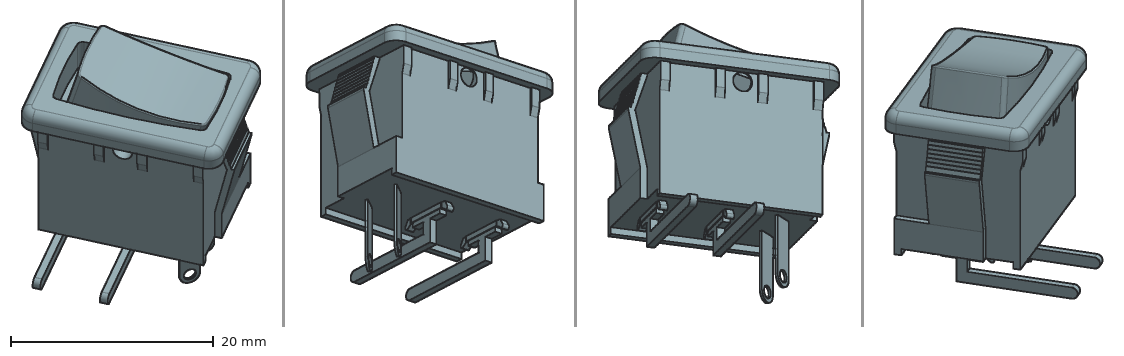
import cadquery as cq
import math


BEZEL_LENGTH = 20.78
BEZEL_WIDTH = 14.8
BEZEL_HEIGHT = 2.08
BEZEL_CORNER_RADIUS = 1.5
BEZEL_EDGE_RADIUS = 1.0

CASE_LENGTH = 17.1
CASE_WIDTH = 12.87
CASE_BOTTOM = -13.21
RAIL_WIDTH = 0.75
RAIL_BOTTOM = -13.92

RIB_WIDTH = 1.0
RIB_PROUD = 0.25
RIB_STRAIGHT_BOTTOM = -1.95
RIB_TAPER_BOTTOM = -2.95
INNER_RIB_X = 2.24

OVERALL_LENGTH = 21.1
CLIP_WIDTH = 5.67
CLIP_FOOT_THICKNESS = 0.73
CLIP_FOOT_TOP = -9.95
CLIP_TIP_Z = -3.95
CLIP_INNER_KINK_X = 9.8
CLIP_INNER_TOP_Z = -0.2
CLIP_OUTER_TOP_X = 9.18
TOOTH_COUNT = 8
TOOTH_TOP_Z = -0.29
TOOTH_PITCH = 0.42
TOOTH_LEDGE = 0.08
LAST_TOOTH_X = 10.12
TIP_LEDGE_X = 10.25
TIP_LEDGE_Z = -3.72

WINDOW_X = 0.1
WINDOW_HALF_LENGTH = 8.17
WINDOW_HALF_WIDTH = 4.75
WINDOW_END_BULGE = 0.29
WINDOW_SIDE_BULGE = 0.45
WINDOW_CORNER_RADIUS = 0.57
WINDOW_FLOOR = -1.22

AXLE_RADIUS = 2.0 / 2
PIVOT_X = 0.15
PIVOT_Z = -AXLE_RADIUS
ROCKER_TILT = 13.0
ROCKER_TOP = 5.18
ROCKER_BASE = -2.08
ROCKER_HALF_LENGTH = 7.07
ROCKER_HALF_WIDTH = 4.47
ROCKER_END_BULGE = 0.29
ROCKER_SIDE_BULGE = 0.62
ROCKER_CORNER_RADIUS = 0.6
ROCKER_DRAFT = 1.5
ROCKER_DISH_RADIUS = 27.3
ROCKER_RIM_RADIUS = 0.13
AXLE_LENGTH = 12.61
AXLE_FLAT_Z = 0.65
AXLE_LEAD_IN_ANGLE = 35.0

TERMINAL_THICKNESS = 0.8
TERMINAL_PITCH = 6.97
TERMINAL_LEG_BACK = 0.6
TERMINAL_LEG_FRONT = -0.52
TERMINAL_ARM_TOP = -15.63
TERMINAL_ARM_BOTTOM = -16.88
OVERALL_WIDTH = 19.4
PLATE_HALF_WIDTH = 2.15
PLATE_BOTTOM = -14.3
SHOULDER_HALF_WIDTH = 2.42
SHOULDER_BOTTOM = -13.79
SHOULDER_PROUD = 0.08
WING_ROOT_Y = 2.91
WING_TIP_LOW = (3.05, -14.25)
WING_TIP_MIDDLE = (3.3, -14.07)
WING_TIP_HIGH = (3.28, -13.79)

LUG_X = 5.77
LUG_YS = (2.24, -2.35)
LUG_ANGLE = 40.0
LUG_WIDTH = 2.18
LUG_THICKNESS = 0.25
LUG_HOLE_DIAMETER = 1.3
LUG_BOTTOM = -20.45

CASE_END = CASE_LENGTH / 2
CASE_BACK = CASE_WIDTH / 2
TERMINAL_TIP_Y = BEZEL_WIDTH / 2 - OVERALL_WIDTH


def block(x_range, y_range, z_range):
    """Box given by its limits along each axis."""
    (x0, x1), (y0, y1), (z0, z1) = x_range, y_range, z_range
    return cq.Workplane("XY").box(x1 - x0, y1 - y0, z1 - z0, centered=False).translate((x0, y0, z0))


def extrude_along_x(outline, x_middle, thickness):
    """Prism from a closed YZ outline, centred on x_middle."""
    return outline.extrude(thickness / 2, both=True).translate((x_middle, 0, 0))


def bulging_rectangle(half_length, half_width, end_bulge, side_bulge):
    """Closed XY outline of four arcs that reach half_length and half_width at mid-side."""
    corner_x = half_length - end_bulge
    corner_y = half_width - side_bulge
    return (
        cq.Workplane("XY")
        .moveTo(-corner_x, -corner_y)
        .threePointArc((0, -half_width), (corner_x, -corner_y))
        .threePointArc((half_length, 0), (corner_x, corner_y))
        .threePointArc((0, half_width), (-corner_x, corner_y))
        .threePointArc((-half_length, 0), (-corner_x, -corner_y))
        .close()
    )


def make_bezel():
    return (
        cq.Workplane("XY")
        .rect(BEZEL_LENGTH, BEZEL_WIDTH)
        .extrude(BEZEL_HEIGHT)
        .edges("|Z")
        .fillet(BEZEL_CORNER_RADIUS)
        .faces(">Z")
        .edges()
        .fillet(BEZEL_EDGE_RADIUS)
    )


def make_case():
    case = block((-CASE_END, CASE_END), (-CASE_BACK, CASE_BACK), (CASE_BOTTOM, 0))
    front_rail = block(
        (-CASE_END, CASE_END), (-CASE_BACK, RAIL_WIDTH - CASE_BACK), (RAIL_BOTTOM, CASE_BOTTOM)
    )
    return case.union(front_rail).union(front_rail.mirror("XZ"))


def make_ribs():
    """Four ribs on each long side, tapering into the case at their lower ends."""
    front_rib = (
        cq.Workplane("YZ")
        .moveTo(-CASE_BACK, 0)
        .lineTo(-CASE_BACK - RIB_PROUD, 0)
        .lineTo(-CASE_BACK - RIB_PROUD, RIB_STRAIGHT_BOTTOM)
        .lineTo(-CASE_BACK, RIB_TAPER_BOTTOM)
        .close()
    )
    front_rib = extrude_along_x(front_rib, 0, RIB_WIDTH)
    outer_rib_x = CASE_END - RIB_WIDTH / 2
    ribs = cq.Workplane("XY")
    for x in (-outer_rib_x, -INNER_RIB_X, INNER_RIB_X, outer_rib_x):
        rib = front_rib.translate((x, 0, 0))
        ribs = ribs.add(rib).add(rib.mirror("XZ"))
    return ribs.combine()


def make_clip():
    """Bent spring clip at the +X end, with a toothed upper face."""
    tip_x = OVERALL_LENGTH / 2
    foot_x = CASE_END + CLIP_FOOT_THICKNESS
    outline = (
        cq.Workplane("XZ")
        .moveTo(CASE_END, CASE_BOTTOM)
        .lineTo(CASE_END, CLIP_FOOT_TOP)
        .lineTo(CLIP_INNER_KINK_X, CLIP_TIP_Z)
        .lineTo(CASE_END, CLIP_INNER_TOP_Z)
        .lineTo(CASE_END, 0)
        .lineTo(CLIP_OUTER_TOP_X, 0)
    )
    tooth_step = (LAST_TOOTH_X - CLIP_OUTER_TOP_X) / TOOTH_COUNT
    for tooth in range(TOOTH_COUNT):
        ledge_x = CLIP_OUTER_TOP_X + (tooth + 1) * tooth_step
        ledge_z = TOOTH_TOP_Z - tooth * TOOTH_PITCH
        outline = outline.lineTo(ledge_x - TOOTH_LEDGE, ledge_z).lineTo(ledge_x, ledge_z)
    outline = (
        outline.lineTo(TIP_LEDGE_X, TIP_LEDGE_Z)
        .lineTo(tip_x, TIP_LEDGE_Z)
        .lineTo(tip_x, CLIP_TIP_Z)
        .lineTo(foot_x, CLIP_FOOT_TOP)
        .lineTo(foot_x, CASE_BOTTOM)
        .close()
    )
    return outline.extrude(CLIP_WIDTH / 2, both=True)


def make_clip_block():
    """Block behind the clip foot at the +X end; it carries the back rail round the corner."""
    x_range = (CASE_END, CASE_END + CLIP_FOOT_THICKNESS)
    foot = block(x_range, (-CLIP_WIDTH / 2, CASE_BACK), (CASE_BOTTOM, CLIP_FOOT_TOP))
    rail = block(x_range, (CASE_BACK - RAIL_WIDTH, CASE_BACK), (RAIL_BOTTOM, CASE_BOTTOM))
    return foot.union(rail)


def make_terminal(x):
    """Right-angle terminal: plate with two wings under the case, leg, and forward arm."""
    arm_radius = (TERMINAL_ARM_TOP - TERMINAL_ARM_BOTTOM) / 2
    leg_and_arm = (
        cq.Workplane("YZ")
        .moveTo(TERMINAL_LEG_BACK, CASE_BOTTOM)
        .lineTo(TERMINAL_LEG_BACK, TERMINAL_ARM_BOTTOM)
        .lineTo(TERMINAL_TIP_Y + arm_radius, TERMINAL_ARM_BOTTOM)
        .threePointArc(
            (TERMINAL_TIP_Y, TERMINAL_ARM_BOTTOM + arm_radius),
            (TERMINAL_TIP_Y + arm_radius, TERMINAL_ARM_TOP),
        )
        .lineTo(TERMINAL_LEG_FRONT, TERMINAL_ARM_TOP)
        .lineTo(TERMINAL_LEG_FRONT, CASE_BOTTOM)
        .close()
    )
    terminal = extrude_along_x(leg_and_arm, x, TERMINAL_THICKNESS)

    half_thickness = TERMINAL_THICKNESS / 2
    x_range = (x - half_thickness, x + half_thickness)
    plate = block(x_range, (-PLATE_HALF_WIDTH, PLATE_HALF_WIDTH), (PLATE_BOTTOM, CASE_BOTTOM))
    shoulder = block(
        (x - half_thickness - SHOULDER_PROUD, x + half_thickness + SHOULDER_PROUD),
        (-SHOULDER_HALF_WIDTH, SHOULDER_HALF_WIDTH),
        (SHOULDER_BOTTOM, CASE_BOTTOM),
    )
    wing = (
        cq.Workplane("YZ")
        .moveTo(SHOULDER_HALF_WIDTH, SHOULDER_BOTTOM)
        .lineTo(*WING_TIP_LOW)
        .threePointArc(WING_TIP_MIDDLE, WING_TIP_HIGH)
        .lineTo(WING_ROOT_Y, CASE_BOTTOM)
        .lineTo(SHOULDER_HALF_WIDTH, CASE_BOTTOM)
        .close()
    )
    wing = extrude_along_x(wing, x, TERMINAL_THICKNESS)
    return terminal.union(plate).union(shoulder).union(wing).union(wing.mirror("XZ"))


def make_lug(y):
    """Flat solder lug with a round end and a round hole, turned about the vertical."""
    end_z = LUG_BOTTOM + LUG_WIDTH / 2
    half_thickness = LUG_THICKNESS / 2
    lug = (
        cq.Workplane("XZ")
        .moveTo(-LUG_WIDTH / 2, CASE_BOTTOM)
        .lineTo(-LUG_WIDTH / 2, end_z)
        .threePointArc((0, LUG_BOTTOM), (LUG_WIDTH / 2, end_z))
        .lineTo(LUG_WIDTH / 2, CASE_BOTTOM)
        .close()
        .extrude(half_thickness, both=True)
    )
    hole = (
        cq.Workplane("XZ")
        .center(0, end_z)
        .circle(LUG_HOLE_DIAMETER / 2)
        .extrude(half_thickness, both=True)
    )
    return lug.cut(hole).rotate((0, 0, 0), (0, 0, 1), LUG_ANGLE).translate((LUG_X, y, 0))


def make_window():
    """Rocker pocket, open at the bezel top."""
    return (
        bulging_rectangle(WINDOW_HALF_LENGTH, WINDOW_HALF_WIDTH, WINDOW_END_BULGE, WINDOW_SIDE_BULGE)
        .extrude(BEZEL_HEIGHT - WINDOW_FLOOR)
        .edges("|Z")
        .fillet(WINDOW_CORNER_RADIUS)
        .translate((WINDOW_X, 0, WINDOW_FLOOR))
    )


def axle_rod(length):
    """Round rod along Y, centred on the origin."""
    return cq.Workplane("XZ").circle(AXLE_RADIUS).extrude(length / 2, both=True)


def make_housing():
    housing = make_bezel().union(make_case()).union(make_ribs())
    for end_part in (make_clip(), make_clip_block()):
        housing = housing.union(end_part).union(end_part.mirror("YZ"))
    for x in (-TERMINAL_PITCH, 0):
        housing = housing.union(make_terminal(x))
    for y in LUG_YS:
        housing = housing.union(make_lug(y))
    axle_bore = axle_rod(CASE_WIDTH).translate((PIVOT_X, 0, PIVOT_Z))
    return housing.cut(make_window()).cut(axle_bore)


def make_axle():
    """Pivot axle whose lower ends are cut back at a slant as lead-ins."""
    half_length = AXLE_LENGTH / 2
    lead_in_length = (AXLE_FLAT_Z + AXLE_RADIUS) * math.tan(math.radians(AXLE_LEAD_IN_ANGLE))
    lead_in = (
        cq.Workplane("YZ")
        .moveTo(-half_length, AXLE_FLAT_Z)
        .lineTo(-half_length, -AXLE_RADIUS)
        .lineTo(-half_length + lead_in_length, -AXLE_RADIUS)
        .close()
    )
    lead_in = extrude_along_x(lead_in, 0, 2 * AXLE_RADIUS)
    return axle_rod(AXLE_LENGTH).cut(lead_in).cut(lead_in.mirror("XZ"))


def tilt_on_pivot(shape):
    """Move a shape from the rocker's own frame to its tilted place in the housing."""
    return shape.rotate((0, 0, 0), (0, 1, 0), ROCKER_TILT).translate((PIVOT_X, 0, PIVOT_Z))


def make_rocker():
    """Drafted rocker with a dished top, tilted on its axle and cut off level at the window floor."""
    height = ROCKER_TOP - ROCKER_BASE
    flare = height * math.tan(math.radians(ROCKER_DRAFT))
    button = (
        bulging_rectangle(
            ROCKER_HALF_LENGTH + flare, ROCKER_HALF_WIDTH + flare, ROCKER_END_BULGE, ROCKER_SIDE_BULGE
        )
        .extrude(height, taper=ROCKER_DRAFT)
        .translate((0, 0, ROCKER_BASE))
        .edges("not(<Z or >Z)")
        .fillet(ROCKER_CORNER_RADIUS)
    )
    dish_centre = ROCKER_TOP + math.sqrt(ROCKER_DISH_RADIUS**2 - ROCKER_HALF_LENGTH**2)
    dish = (
        cq.Workplane("XZ")
        .center(0, dish_centre)
        .circle(ROCKER_DISH_RADIUS)
        .extrude(BEZEL_WIDTH, both=True)
    )
    dish_lowest_point = (0, 0, dish_centre - ROCKER_DISH_RADIUS)
    button = (
        button.cut(dish)
        .faces(cq.NearestToPointSelector(dish_lowest_point))
        .edges()
        .fillet(ROCKER_RIM_RADIUS)
    )

    below_floor = block(
        (-BEZEL_LENGTH, BEZEL_LENGTH),
        (-BEZEL_WIDTH, BEZEL_WIDTH),
        (CASE_BOTTOM, WINDOW_FLOOR),
    )
    return tilt_on_pivot(button).cut(below_floor).union(tilt_on_pivot(make_axle()))


housing = make_housing()
rocker = make_rocker()

result = cq.Compound.makeCompound([housing.val(), rocker.val()])